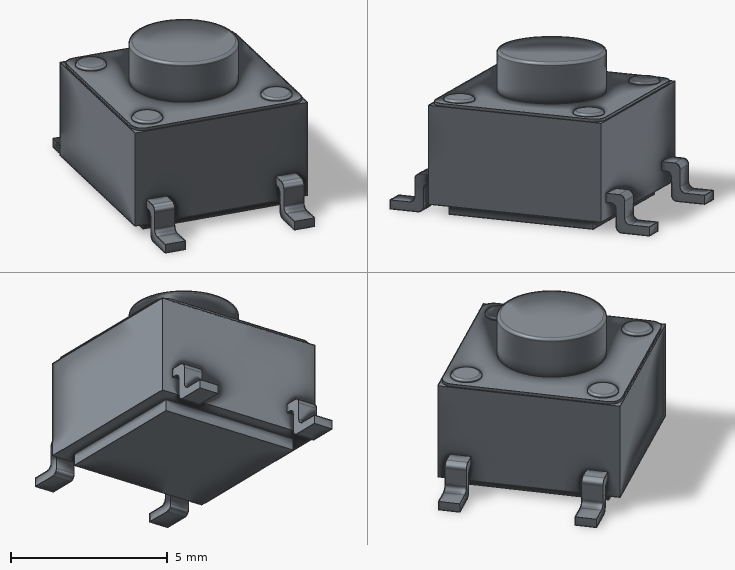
import cadquery as cq

overall_length = 9.0
overall_height = 5.1
body_side = 6.0
body_bottom = 0.4
body_top = 3.65
base_side = 5.0

cover_side = 5.9
cover_corner_radius = 0.4
cover_top = 3.74

button_diameter = 3.5
button_edge_fillet = 0.1

rivet_diameter = 1.0
rivet_top = 3.83
rivet_edge_fillet = 0.08
rivet_spacing = 4.5

lead_width = 0.7
lead_spacing = 4.5
lead_thickness = 0.3
lead_top = 1.26
lead_riser_outer = 3.645
lead_bend_radius = 0.2
lead_embed = 0.09


def square_block(side, bottom, top):
    """Centred square block between two heights."""
    return cq.Workplane("XY").workplane(offset=bottom).rect(side, side).extrude(top - bottom)


def make_rivets():
    """Four rivet heads standing on the cover, with rounded top edges."""
    return (
        cq.Workplane("XY")
        .workplane(offset=cover_top)
        .rect(rivet_spacing, rivet_spacing, forConstruction=True)
        .vertices()
        .circle(rivet_diameter / 2)
        .extrude(rivet_top - cover_top)
        .faces(">Z")
        .edges()
        .fillet(rivet_edge_fillet)
    )


def make_button():
    """Round push button, rising from the cover."""
    return (
        cq.Workplane("XY")
        .workplane(offset=cover_top)
        .circle(button_diameter / 2)
        .extrude(overall_height - cover_top)
        .faces(">Z")
        .edges()
        .fillet(button_edge_fillet)
    )


def make_lead(y_center):
    """Z-bent lead on the +X side, with four rounded bends."""
    root = body_side / 2 - lead_embed
    tip = overall_length / 2
    riser_inner = lead_riser_outer - lead_thickness
    outline = [
        (root, lead_top),
        (lead_riser_outer, lead_top),
        (lead_riser_outer, lead_thickness),
        (tip, lead_thickness),
        (tip, 0),
        (riser_inner, 0),
        (riser_inner, lead_top - lead_thickness),
        (root, lead_top - lead_thickness),
    ]
    lead = (
        cq.Workplane("XZ", origin=(0, y_center + lead_width / 2, 0))
        .polyline(outline)
        .close()
        .extrude(lead_width)
    )
    bends = lead.edges("|Y").edges(
        cq.selectors.BoxSelector(
            (riser_inner - lead_embed, y_center - lead_width, -lead_embed),
            (lead_riser_outer + lead_embed, y_center + lead_width, lead_top + lead_embed),
        )
    )
    return bends.fillet(lead_bend_radius)


body = square_block(body_side, body_bottom, body_top)
base = square_block(base_side, 0, body_bottom)
cover = square_block(cover_side, body_top, cover_top).edges("|Z").fillet(cover_corner_radius)

result = body.union(base).union(cover).union(make_rivets()).union(make_button())
for y_center in (-lead_spacing / 2, lead_spacing / 2):
    lead = make_lead(y_center)
    result = result.union(lead).union(lead.mirror("YZ"))